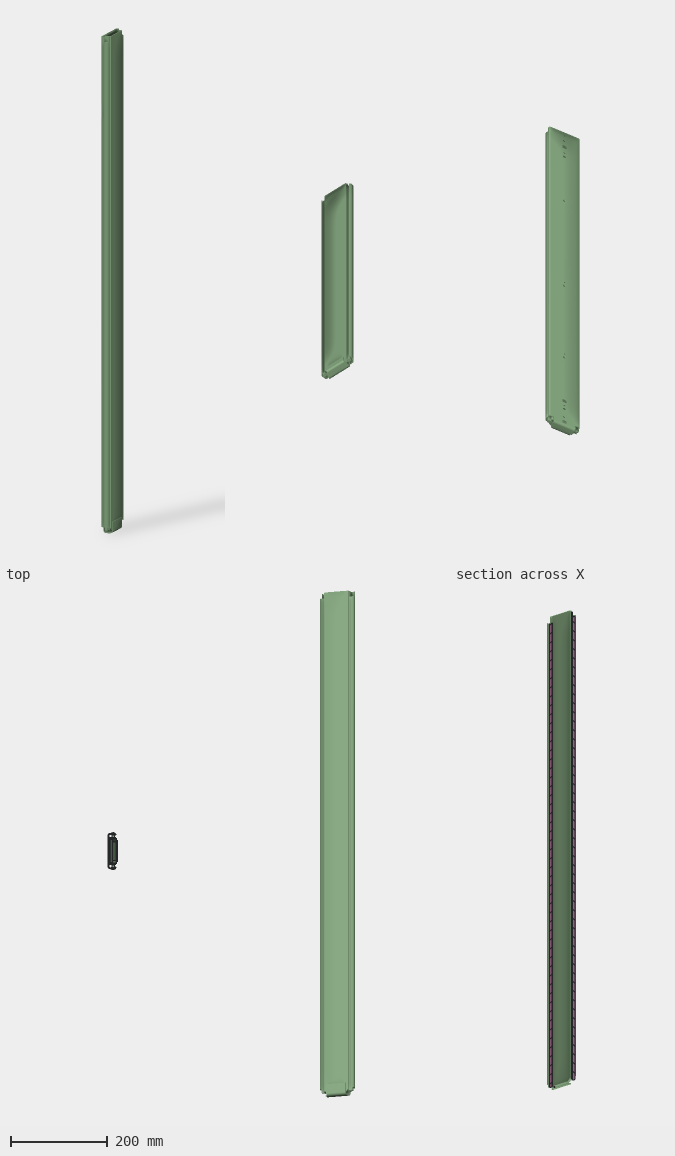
import cadquery as cq
import math


slide_length = 1067.0
half_width = 76.0 / 2
sheet = 1.7

shoulder_z = 15.0
lip_top_z = 1055.0
corner_radius = 3.8
corner_center_y = 32.0
corner_mid_angle = 40.0
race_radius = 6.6
race_center_x = 10.5
race_center_y = half_width - race_radius
lip_angle = 68.0

inner_half_width = 52.0 / 2
inner_tip_x = 9.1
inner_depth = 8.7
inner_back_x = inner_tip_x + inner_depth
inner_bottom_z = 4.8
inner_chamfer = 6.0

slide_depth = inner_back_x + sheet
tongue_half_width = 25.0
hook_radius = 4.8
hook_leg_half_width = 21.0
hook_leg_top_z = 25.0
window_size = 9.8
window_z = 13.0

middle_half_width = 57.0 / 2
middle_depth = 13.0
middle_bottom_z = 8.0
middle_web_x = 2.7
middle_tip_x = middle_web_x + middle_depth
middle_corner_radius = 2.0

cage_start_x = 8.0
cage_width = 5.7
cage_end_x = cage_start_x + cage_width
cage_outer_y = 34.0
cage_sink = 0.3
cage_inner_y = middle_half_width - cage_sink
groove_x = (cage_start_x + cage_end_x) / 2
groove_half_width = 4.0
groove_depth = 0.9

plain_holes = [
    (3.0, [1054.0, 521.0, 260.0]),
    (4.0, [991.0, 73.0]),
    (6.9, [978.0, 60.0]),
    (11.0, [1013.0, 89.0]),
]
countersink_diameter = 7.0
countersink_bore = 4.0
countersink_depth = 1.0
countersink_heights = [1036.0, 818.0, 509.0, 249.0, 31.0]


def block(x_range, y_range, z_range):
    """Box given by its lowest and highest coordinate along each axis."""
    sizes = [high - low for low, high in (x_range, y_range, z_range)]
    corner = (x_range[0], y_range[0], z_range[0])
    return cq.Workplane("XY").box(*sizes, centered=False).translate(corner)


def disc(x, y, radius, bottom, top):
    return cq.Workplane("XY").workplane(offset=bottom).center(x, y).circle(radius).extrude(top - bottom)


def race_point(radius, angle, side):
    """Point on a race circle; the angle runs from the outward Y direction toward +X."""
    turn = math.radians(angle)
    return (
        race_center_x + radius * math.sin(turn),
        side * (race_center_y + radius * math.cos(turn)),
    )


def corner_race_crossing():
    """Angle on the race circle, from +Y toward +X, where the corner circle meets it."""
    dx = corner_radius - race_center_x
    dy = corner_center_y - race_center_y
    distance = math.hypot(dx, dy)
    spread = math.acos(
        (distance**2 + race_radius**2 - corner_radius**2) / (2 * distance * race_radius)
    )
    return math.degrees(math.atan2(dx, dy) + spread)


def outer_edge(side):
    """Rounded web corner and curled ball race lip on one side of the channel."""
    length = slide_length - shoulder_z
    inner_corner = corner_radius - sheet
    inner_race = race_radius - sheet
    start_angle = corner_race_crossing()
    crossing = race_point(race_radius, start_angle, side)
    inner_start = race_point(inner_race, start_angle, side)
    corner_bend = math.radians(corner_mid_angle)
    corner_mid = (
        corner_radius * (1 - math.cos(corner_bend)),
        side * (corner_center_y + corner_radius * math.sin(corner_bend)),
    )
    inner_mid = (
        corner_radius - inner_corner * math.cos(corner_bend),
        side * (corner_center_y + inner_corner * math.sin(corner_bend)),
    )
    corner = (
        cq.Workplane("XY").workplane(offset=shoulder_z)
        .moveTo(0, side * corner_center_y)
        .threePointArc(corner_mid, crossing)
        .lineTo(*inner_start)
        .threePointArc(inner_mid, (sheet, side * corner_center_y))
        .close().extrude(length)
    )
    mid_angle = (start_angle + lip_angle) / 2
    lip = (
        cq.Workplane("XY").workplane(offset=shoulder_z)
        .moveTo(*crossing)
        .threePointArc(
            race_point(race_radius, mid_angle, side), race_point(race_radius, lip_angle, side)
        )
        .lineTo(*race_point(inner_race, lip_angle, side))
        .threePointArc(race_point(inner_race, mid_angle, side), inner_start)
        .close().extrude(lip_top_z - shoulder_z)
    )
    return corner.union(lip)


def stop_hook():
    """U-shaped tongue that wraps under the inner member and rises behind it."""
    full = (-tongue_half_width, tongue_half_width)
    hook = block((0, slide_depth), full, (0, shoulder_z)).edges("|Y and <Z").fillet(hook_radius)
    cavity = block((sheet, slide_depth - sheet), full, (sheet, shoulder_z))
    cavity = cavity.edges("|Y and <Z").fillet(hook_radius - sheet)
    hook = hook.cut(cavity)
    for side in (-1, 1):
        edge_range = sorted((side * hook_leg_half_width, side * tongue_half_width))
        hook = hook.cut(block((slide_depth - hook_radius, slide_depth), edge_range, (0, shoulder_z)))
    leg = (-hook_leg_half_width, hook_leg_half_width)
    return hook.union(block((slide_depth - sheet, slide_depth), leg, (shoulder_z, hook_leg_top_z)))


def web_hole(diameter, height):
    return cq.Workplane("YZ").center(0, height).circle(diameter / 2).extrude(sheet)


def countersunk_hole(height):
    """Bore through the web with a conical mouth on the outside face."""
    cone = cq.Solid.makeCone(
        countersink_diameter / 2,
        countersink_bore / 2,
        countersink_depth,
        pnt=cq.Vector(0, 0, height),
        dir=cq.Vector(1, 0, 0),
    )
    return web_hole(countersink_bore, height).union(cq.Workplane(cone))


def outer_member():
    body = block((0, sheet), (-corner_center_y, corner_center_y), (shoulder_z, slide_length))
    for side in (-1, 1):
        body = body.union(outer_edge(side))
    body = body.union(stop_hook())
    for diameter, heights in plain_holes:
        for height in heights:
            body = body.cut(web_hole(diameter, height))
    for height in countersink_heights:
        body = body.cut(countersunk_hole(height))
    half_window = window_size / 2
    window = block(
        (0, sheet), (-half_window, half_window), (window_z - half_window, window_z + half_window)
    )
    return body.cut(window).clean()


def intermediate_member():
    """Channel inside the outer member, with a shallow ball groove along each flange."""
    heights = (middle_bottom_z, slide_length)
    inside = middle_half_width - sheet
    body = block((middle_web_x, middle_tip_x), (-middle_half_width, middle_half_width), heights)
    body = body.edges("|Z and <X").fillet(middle_corner_radius)
    body = body.cut(block((middle_web_x + sheet, middle_tip_x), (-inside, inside), heights))
    groove_radius = (groove_half_width**2 + groove_depth**2) / (2 * groove_depth)
    groove_y = middle_half_width - groove_depth + groove_radius
    for side in (-1, 1):
        body = body.cut(disc(groove_x, side * groove_y, groove_radius, *heights))
    return body


def inner_member():
    """Tray opening toward the web of the outer member, its lower end closed and bevelled."""
    outline = block(
        (inner_tip_x, inner_back_x),
        (-inner_half_width, inner_half_width),
        (inner_bottom_z, slide_length),
    )
    outline = outline.edges("|X and <Z").chamfer(inner_chamfer)
    inside = inner_half_width - sheet
    hollow = block(
        (inner_tip_x, inner_back_x - sheet),
        (-inside, inside),
        (inner_bottom_z + sheet, slide_length),
    )
    hollow_chamfer = inner_chamfer - sheet * (2 - math.sqrt(2))
    hollow = hollow.edges("|X and <Z").chamfer(hollow_chamfer)
    return outline.cut(hollow)


def ball_cage(side):
    """Strip that fills the ball race between the outer and intermediate members."""
    y_range = sorted((side * cage_inner_y, side * cage_outer_y))
    return block((cage_start_x, cage_end_x), y_range, (middle_bottom_z, lip_top_z))


outer = outer_member()
intermediate = intermediate_member()
inner = inner_member()
cages = [ball_cage(side) for side in (-1, 1)]

result = cq.Compound.makeCompound(
    [outer.val(), intermediate.val(), inner.val(), *[cage.val() for cage in cages]]
)